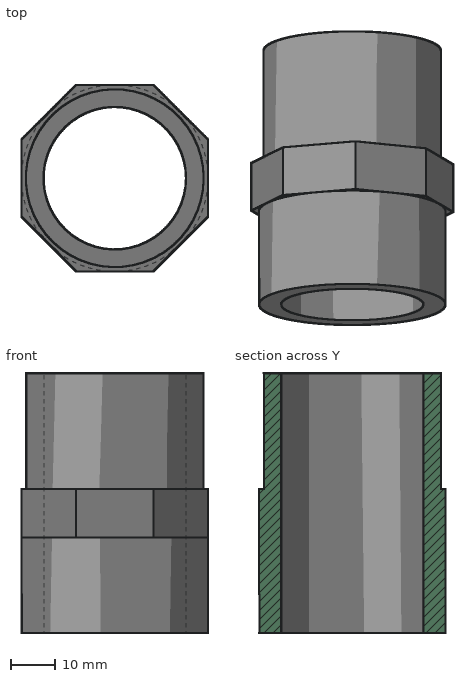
import cadquery as cq
import math

bore_diameter = 32.0
spigot_diameter = 40.0
body_diameter = 42.0
wrench_flats = body_diameter
wrench_sides = 8

body_length = 21.5
wrench_length = 11.0
spigot_length = 26.0
total_length = body_length + wrench_length + spigot_length


def round_section(diameter, base_z, length):
    """Solid cylinder on the Z axis, standing on base_z."""
    return cq.Workplane("XY").workplane(offset=base_z).circle(diameter / 2).extrude(length)


def wrench_section():
    """Octagonal grip with flats facing +-X, +-Y and the diagonals."""
    half_side_angle = 180.0 / wrench_sides
    across_corners = wrench_flats / math.cos(math.radians(half_side_angle))
    return (
        cq.Workplane("XY")
        .workplane(offset=body_length)
        .transformed(rotate=(0, 0, half_side_angle))
        .polygon(wrench_sides, across_corners)
        .extrude(wrench_length)
    )


body = round_section(body_diameter, 0, body_length)
spigot = round_section(spigot_diameter, body_length + wrench_length, spigot_length)
bore = round_section(bore_diameter, 0, total_length)

result = body.union(wrench_section()).union(spigot).cut(bore)